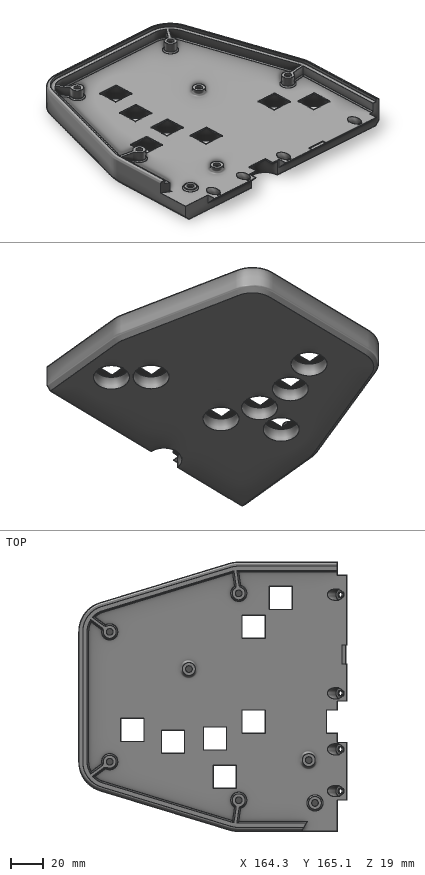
import cadquery as cq
import math

body_length = 158.5
width = 165.1
height = 19.0
floor_z = 10.5
ledge_z = 17.0
half_width = width / 2

shoulder_x = 95.1
nose_half_width = 53.7
corner_radius = 18.7
side_angle = math.degrees(math.atan2(half_width - nose_half_width, shoulder_x))
trim_allowance = 33.0

lip_width = 2.5
wall_width = 5.1
foot = 1.0
foot_height = 0.7
bottom_chamfer = 3.0
edge_round = 2.0

gap_x = 136.5
gap_depth = wall_width + foot
gap_angle = 30.0

tab_reach = 5.8
tab_y_min = -63.4
tab_y_max = 74.6
tab_tip_x = body_length + tab_reach
tab_gap_y = (-27.9, -2.6)
finger_notch_y = (20.0, 31.7)
finger_notch_x = 161.5
finger_notch_depth = 0.58

screw_x = 157.3
screw_ys = (62.5, 2.1, -32.2, -57.8)
screw_bore = 3.5
screw_head_bore = 7.0
screw_web = 1.0

switch_side = 14.0
switch_plate = 1.0
switch_recess = 22.0
switch_centers = [
    (32.9, -20.3),
    (57.8, -27.5),
    (83.5, -25.6),
    (89.5, -49.0),
    (107.1, -15.2),
    (107.1, 43.0),
    (123.8, 60.6),
    (159.0, -15.2),
]

post_diameter = 8.0
post_bore = 4.1
post_bore_bottom = 4.1
rib_width = 1.8
rib_blend = 2.0
rib_length = 23.1
rear_post = (19.0, 39.8)
side_post = (98.0, 63.4)
tall_posts = [(67.5, 17.0), (141.0, -38.8)]
tall_post_z = 14.4
tall_post_fillet = 2.0
short_post = (144.8, -65.0)
short_post_z = 11.9


def tray_block(inset, z_low, z_high):
    """Upright block with the tray outline moved inwards by inset; too long on the right."""
    right = body_length + trim_allowance
    corners = [
        (right, half_width),
        (shoulder_x, half_width),
        (0, nose_half_width),
        (0, -nose_half_width),
        (shoulder_x, -half_width),
        (right, -half_width),
    ]
    sketch = cq.Workplane("XY", origin=(0, 0, z_low)).polyline(corners).close()
    if inset > 0:
        sketch = sketch.offset2D(-inset, "intersection")
    block = sketch.extrude(z_high - z_low)
    return block.edges("|Z and (not >X)").fillet(corner_radius - inset)


def box(x_range, y_range, z_range):
    """Block between the given limits."""
    size = [high - low for low, high in (x_range, y_range, z_range)]
    corner = (x_range[0], y_range[0], z_range[0])
    return cq.Workplane("XY").box(*size, centered=False).translate(corner)


def post(x, y, z_low, z_high, diameter=post_diameter):
    """Upright cylinder between two heights."""
    return cq.Workplane("XY", origin=(x, y, z_low)).circle(diameter / 2).extrude(z_high - z_low)


def footed_post(x, y, z_top):
    """Post standing on the floor with a sloped foot."""
    radius = post_diameter / 2
    profile = [
        (0, floor_z),
        (radius + foot, floor_z),
        (radius, floor_z + foot_height),
        (radius, z_top),
        (0, z_top),
    ]
    section = cq.Workplane("XZ").polyline(profile).close()
    return section.revolve(360, (0, 0, 0), (0, 1, 0)).translate((x, y, 0))


def blended_post():
    """Post at the origin with a rib along +X, joined by concave blends."""
    rib = cq.Workplane("XY", origin=(0, 0, floor_z)).box(
        rib_length, rib_width, ledge_z - floor_z, centered=(False, True, False)
    )
    prism = post(0, 0, floor_z, ledge_z).union(rib)
    junction = cq.selectors.BoxSelector((0.2, -post_diameter, 0), (post_diameter, post_diameter, height))
    return prism.edges("|Z").edges(junction).fillet(rib_blend)


def rib_foot():
    """Sloped foot along both sides of a rib that starts at the origin and runs along +X."""
    half_rib = rib_width / 2
    profile = [
        (-half_rib - foot, floor_z),
        (half_rib + foot, floor_z),
        (half_rib, floor_z + foot_height),
        (-half_rib, floor_z + foot_height),
    ]
    return cq.Workplane("YZ").polyline(profile).close().extrude(rib_length)


def ribbed_post(x, y, rib_angle):
    """Corner post at (x, y) with a footed rib running into the wall at rib_angle."""
    solid = blended_post().union(footed_post(0, 0, ledge_z)).union(rib_foot())
    return solid.rotate((0, 0, 0), (0, 0, 1), rib_angle).translate((x, y, 0))


def outer_shell():
    """Solid outer form with the rounded rim and the chamfered underside."""
    shell = tray_block(0, 0, height)
    shell = shell.faces("<Z").edges().chamfer(bottom_chamfer)
    chamfer_band = cq.selectors.BoxSelector(
        (-1.7, -width, bottom_chamfer - 0.2),
        (body_length + trim_allowance + 1.7, width, bottom_chamfer + 0.2),
    )
    shell = shell.edges(chamfer_band).fillet(edge_round)
    return shell.faces(">Z").edges().fillet(edge_round)


def pocket():
    """Space inside the walls, left open around the corner posts and their ribs."""
    space = tray_block(wall_width, floor_z, height)
    space = space.faces("<Z").edges().chamfer(foot_height, foot)
    rear_rib_angle = 90 + (90 + side_angle) / 2
    side_rib_angle = 90 + side_angle / 2
    for side in (1, -1):
        space = space.cut(ribbed_post(rear_post[0], side * rear_post[1], side * rear_rib_angle))
        space = space.cut(ribbed_post(side_post[0], side * side_post[1], side * side_rib_angle))
    return space


def wall_gap():
    """Slanted cut that removes the front wall towards the right-hand face."""
    inner_x = gap_x + gap_depth * math.tan(math.radians(gap_angle))
    right = body_length + trim_allowance
    inner_y = -half_width + gap_depth
    corners = [(gap_x, -half_width), (inner_x, inner_y), (right, inner_y), (right, -half_width)]
    return cq.Workplane("XY", origin=(0, 0, floor_z)).polyline(corners).close().extrude(height - floor_z)


def tab():
    """Triangular tab that overhangs the right-hand face."""
    profile = [
        (body_length, floor_z),
        (tab_tip_x, floor_z),
        (body_length, floor_z - tab_reach),
    ]
    prism = cq.Workplane("XZ", origin=(0, tab_y_max, 0)).polyline(profile).close()
    return prism.extrude(tab_y_max - tab_y_min)


def edge_notches():
    """Cuts in the tab: its interruption and the shallow finger notch."""
    cuts = box((body_length, tab_tip_x), tab_gap_y, (0, height))
    finger_z = (floor_z - finger_notch_depth, height)
    return cuts.union(box((finger_notch_x, tab_tip_x), finger_notch_y, finger_z))


def screw_hole(y):
    """Stepped hole square to the sloping face of the tab."""
    axis = cq.Plane(origin=(screw_x, y, floor_z), xDir=(0, 1, 0), normal=(1, 0, -1))
    face_distance = (tab_tip_x - screw_x) / math.sqrt(2)
    lead = screw_head_bore
    head_depth = face_distance - screw_web
    head = cq.Workplane(axis).workplane(offset=-lead).circle(screw_head_bore / 2).extrude(lead + head_depth)
    shank = cq.Workplane(axis).circle(screw_bore / 2).extrude(face_distance + screw_web)
    return head.union(shank)


def switch_opening(x, y):
    """Square hole with a round recess from below."""
    recess = post(x, y, 0, floor_z - switch_plate, switch_recess)
    half = switch_side / 2
    return recess.union(box((x - half, x + half), (y - half, y + half), (0, height)))


def tall_post(x, y):
    """Post with a concave fillet at its foot."""
    radius = post_diameter / 2
    flare = radius + tall_post_fillet
    arc_center = (flare, floor_z + tall_post_fillet)
    diagonal = tall_post_fillet / math.sqrt(2)
    profile = (
        cq.Workplane("XZ")
        .moveTo(0, floor_z)
        .lineTo(flare, floor_z)
        .threePointArc(
            (arc_center[0] - diagonal, arc_center[1] - diagonal),
            (radius, floor_z + tall_post_fillet),
        )
        .lineTo(radius, tall_post_z)
        .lineTo(0, tall_post_z)
        .close()
    )
    return profile.revolve(360, (0, 0, 0), (0, 1, 0)).translate((x, y, 0))


tray = outer_shell()
tray = tray.cut(tray_block(lip_width, ledge_z, height))
tray = tray.cut(pocket())
tray = tray.cut(wall_gap())
tray = tray.intersect(box((0, body_length), (-half_width, half_width), (0, height)))

tray = tray.union(tab()).cut(edge_notches())
for screw_y in screw_ys:
    tray = tray.cut(screw_hole(screw_y))
for switch_center in switch_centers:
    tray = tray.cut(switch_opening(*switch_center))

for center in tall_posts:
    tray = tray.union(tall_post(*center))
tray = tray.union(footed_post(*short_post, short_post_z))

corner_posts = [(x, side * y) for x, y in (rear_post, side_post) for side in (1, -1)]
for center in corner_posts + tall_posts + [short_post]:
    tray = tray.cut(post(*center, post_bore_bottom, height, post_bore))

result = tray